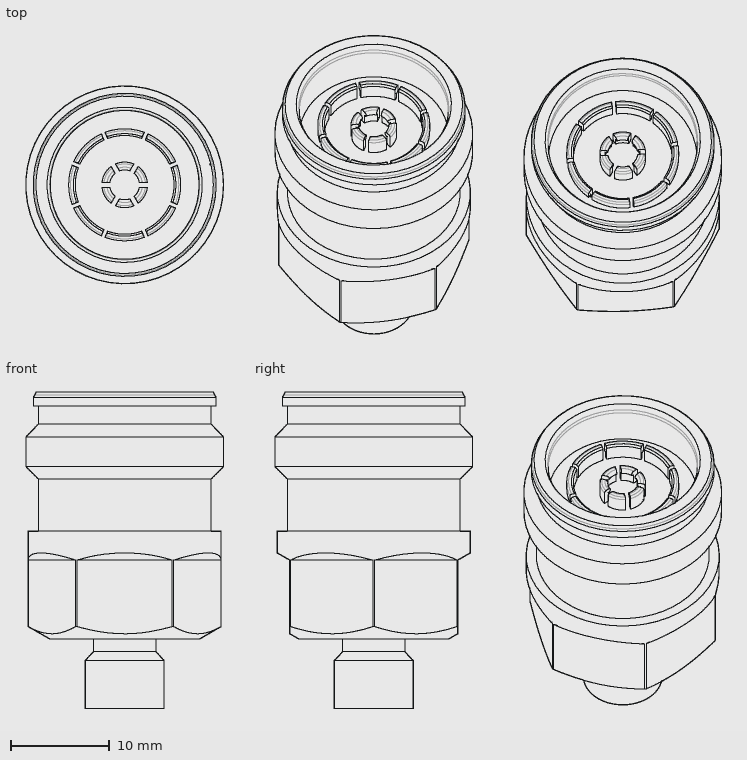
import cadquery as cq
import math

TOTAL_HEIGHT = 32.0
TAIL_SHOULDER_Z = 4.85
TAIL_NECK_Z = 5.75
NUT_BOTTOM_Z = 7.05
HEX_TOP_Z = 15.0
NUT_TOP_Z = 17.95
COLLAR_CONE_BOTTOM_Z = 23.2
COLLAR_BOTTOM_Z = 24.45
COLLAR_TOP_Z = 27.45
COLLAR_CONE_TOP_Z = 28.77
LIP_BOTTOM_Z = 30.55
LIP_CHAMFER_Z = 31.45
LIP_BEVEL_Z = 31.68

TAIL_RADIUS = 4.0
TAIL_NECK_RADIUS = 3.17
NUT_RADIUS = 9.75
NUT_FOOT_RADIUS = 7.6
BARREL_RADIUS = 8.75
COLLAR_RADIUS = 10.0
LIP_RADIUS = 9.25
LIP_BEVEL_RADIUS = 9.12
LIP_TOP_RADIUS = 8.95

HEX_ACROSS_FLATS = 17.0
HEX_SIDES = 6
HEX_RUNOUT_ANGLE = 30.0
NUT_CHAMFER_ANGLE = 30.0

FLOOR_Z = 27.15
BORE_RADIUS = 7.52
MOUTH_RADIUS = 7.85
MOUTH_DEPTH = 0.8
MOUTH_FILLET = 1.0

OUTER_RING_TOP_Z = 28.93
OUTER_RING_RIM_BOTTOM_Z = 27.85
OUTER_RING_RADIUS = 5.65
OUTER_RING_WALL_RADIUS = 5.28
OUTER_RING_INNER_RADIUS = 5.0
OUTER_RING_ROUND = 0.2
OUTER_RING_CHAMFER = 0.2
OUTER_RING_SLOTS = 8
OUTER_RING_SLOT_WIDTH = 0.4

CENTRE_RING_TOP_Z = 28.9
CENTRE_RING_RADIUS = 2.3
CENTRE_RING_ROUND = 0.2
CENTRE_RING_BEAD_TIP_RADIUS = 1.5
CENTRE_RING_BEAD = 0.3
CENTRE_RING_SLOTS = 6
CENTRE_RING_SLOT_WIDTH = 0.5


def revolve(profile):
    """Turn a closed (radius, height) outline around the Z axis."""
    return cq.Workplane("XZ").polyline(profile).close().revolve(360, (0, 0, 0), (0, 1, 0))


def make_tail():
    return revolve([
        (0, 0),
        (TAIL_RADIUS, 0),
        (TAIL_RADIUS, TAIL_SHOULDER_Z),
        (TAIL_NECK_RADIUS, TAIL_NECK_Z),
        (TAIL_NECK_RADIUS, NUT_BOTTOM_Z),
        (0, NUT_BOTTOM_Z),
    ])


def hexagon_corner_diameter(across_flats):
    return across_flats / math.cos(math.pi / HEX_SIDES)


def make_nut():
    chamfer_height = (NUT_RADIUS - NUT_FOOT_RADIUS) * math.tan(math.radians(NUT_CHAMFER_ANGLE))
    blank = revolve([
        (0, NUT_BOTTOM_Z),
        (NUT_FOOT_RADIUS, NUT_BOTTOM_Z),
        (NUT_RADIUS, NUT_BOTTOM_Z + chamfer_height),
        (NUT_RADIUS, NUT_TOP_Z),
        (0, NUT_TOP_Z),
    ])
    runout_height = (NUT_RADIUS - HEX_ACROSS_FLATS / 2) * math.tan(math.radians(HEX_RUNOUT_ANGLE))
    prism = (
        cq.Workplane("XY")
        .workplane(offset=NUT_BOTTOM_Z)
        .polygon(HEX_SIDES, hexagon_corner_diameter(HEX_ACROSS_FLATS))
        .extrude(HEX_TOP_Z - NUT_BOTTOM_Z)
    )
    runout = (
        cq.Workplane("XY")
        .workplane(offset=HEX_TOP_Z)
        .polygon(HEX_SIDES, hexagon_corner_diameter(HEX_ACROSS_FLATS))
        .workplane(offset=runout_height)
        .polygon(HEX_SIDES, hexagon_corner_diameter(2 * NUT_RADIUS))
        .loft(ruled=True)
    )
    round_bottom = HEX_TOP_Z + runout_height
    round_part = (
        cq.Workplane("XY")
        .workplane(offset=round_bottom)
        .circle(NUT_RADIUS)
        .extrude(NUT_TOP_Z - round_bottom)
    )
    return blank.intersect(prism.union(runout).union(round_part))


def make_barrel():
    barrel = revolve([
        (0, NUT_TOP_Z),
        (BARREL_RADIUS, NUT_TOP_Z),
        (BARREL_RADIUS, COLLAR_CONE_BOTTOM_Z),
        (COLLAR_RADIUS, COLLAR_BOTTOM_Z),
        (COLLAR_RADIUS, COLLAR_TOP_Z),
        (BARREL_RADIUS, COLLAR_CONE_TOP_Z),
        (BARREL_RADIUS, LIP_BOTTOM_Z),
        (LIP_RADIUS, LIP_BOTTOM_Z),
        (LIP_RADIUS, LIP_CHAMFER_Z),
        (LIP_BEVEL_RADIUS, LIP_BEVEL_Z),
        (LIP_TOP_RADIUS, TOTAL_HEIGHT),
        (MOUTH_RADIUS, TOTAL_HEIGHT),
        (BORE_RADIUS, TOTAL_HEIGHT - MOUTH_DEPTH),
        (BORE_RADIUS, FLOOR_Z),
        (0, FLOOR_Z),
    ])
    mouth_corner = cq.selectors.NearestToPointSelector((0, 0, TOTAL_HEIGHT - MOUTH_DEPTH))
    return barrel.edges(mouth_corner).fillet(MOUTH_FILLET)


def cut_radial_slots(ring, outer_radius, width, count, first_angle):
    """Split a ring into equal segments with parallel-sided slots down to the socket floor."""
    slot = (
        cq.Workplane("XY")
        .workplane(offset=FLOOR_Z)
        .center(outer_radius / 2, 0)
        .rect(outer_radius + width, width)
        .extrude(TOTAL_HEIGHT - FLOOR_Z)
    )
    for index in range(count):
        angle = first_angle + index * 360 / count
        ring = ring.cut(slot.rotate((0, 0, 0), (0, 0, 1), angle))
    return ring


def make_outer_ring():
    ring = (
        cq.Workplane("XZ")
        .moveTo(OUTER_RING_INNER_RADIUS, FLOOR_Z)
        .lineTo(OUTER_RING_WALL_RADIUS, FLOOR_Z)
        .lineTo(OUTER_RING_WALL_RADIUS, OUTER_RING_RIM_BOTTOM_Z)
        .lineTo(OUTER_RING_RADIUS, OUTER_RING_RIM_BOTTOM_Z)
        .lineTo(OUTER_RING_RADIUS, OUTER_RING_TOP_Z - OUTER_RING_ROUND)
        .tangentArcPoint((OUTER_RING_RADIUS - OUTER_RING_ROUND, OUTER_RING_TOP_Z), relative=False)
        .lineTo(OUTER_RING_INNER_RADIUS + OUTER_RING_CHAMFER, OUTER_RING_TOP_Z)
        .lineTo(OUTER_RING_INNER_RADIUS, OUTER_RING_TOP_Z - OUTER_RING_CHAMFER)
        .close()
        .revolve(360, (0, 0, 0), (0, 1, 0))
    )
    half_pitch = 180 / OUTER_RING_SLOTS
    return cut_radial_slots(ring, OUTER_RING_RADIUS, OUTER_RING_SLOT_WIDTH, OUTER_RING_SLOTS, half_pitch)


def make_centre_ring():
    inner_radius = CENTRE_RING_BEAD_TIP_RADIUS + CENTRE_RING_BEAD
    bead_bottom = CENTRE_RING_TOP_Z - 2 * CENTRE_RING_BEAD
    ring = (
        cq.Workplane("XZ")
        .moveTo(inner_radius, FLOOR_Z)
        .lineTo(CENTRE_RING_RADIUS, FLOOR_Z)
        .lineTo(CENTRE_RING_RADIUS, CENTRE_RING_TOP_Z - CENTRE_RING_ROUND)
        .tangentArcPoint((CENTRE_RING_RADIUS - CENTRE_RING_ROUND, CENTRE_RING_TOP_Z), relative=False)
        .lineTo(inner_radius, CENTRE_RING_TOP_Z)
        .tangentArcPoint((inner_radius, bead_bottom), relative=False)
        .close()
        .revolve(360, (0, 0, 0), (0, 1, 0))
    )
    return cut_radial_slots(ring, CENTRE_RING_RADIUS, CENTRE_RING_SLOT_WIDTH, CENTRE_RING_SLOTS, 0)


body = make_tail().union(make_nut()).union(make_barrel())
result = body.union(make_outer_ring()).union(make_centre_ring())